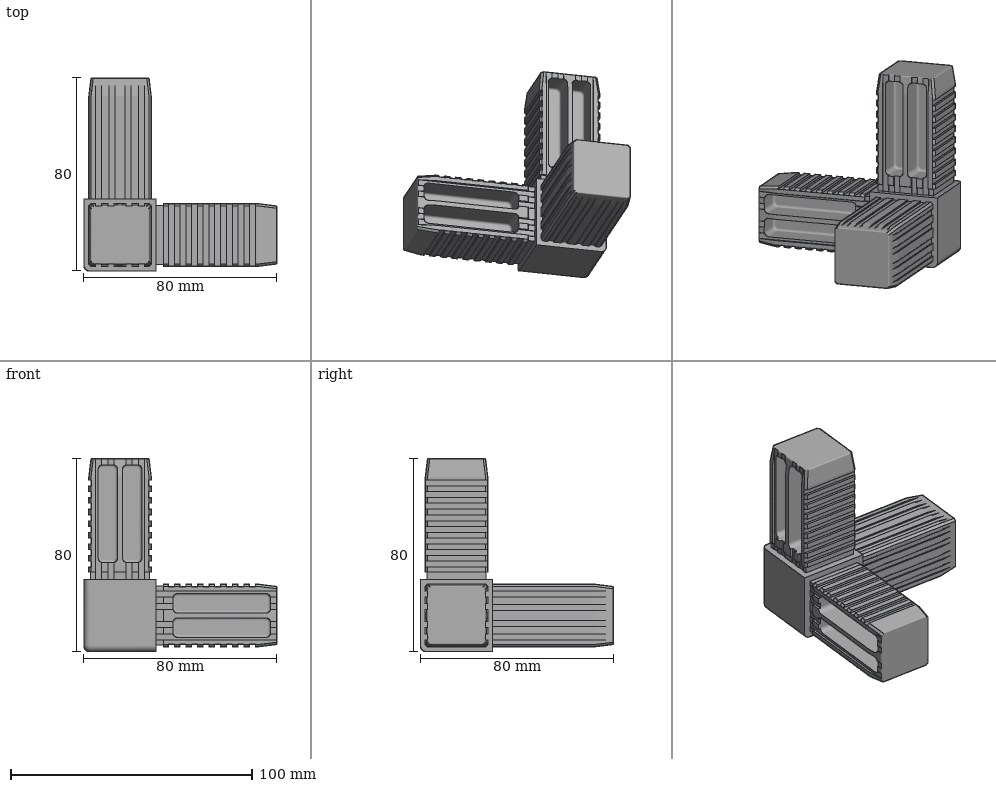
import cadquery as cq


overall = 80.0
cube_size = 30.0
cube_fillet = 2.5
plug_width = 26.0
corner_chamfer = 1.0
taper_length = 7.8
taper_inset = 1.0
tip_fillet = 0.5
groove_width = 2.5

neck_width = 24.5
neck_length = 3.0
rib_pitch = 4.8
rib_gap = 2.5
rib_gap_count = 8
first_rib = 2.1
rib_depth = 1.0
ribbed_groove_starts = (2.6, 7.6)
pocket_width = 8.1
pocket_length = 40.5
pocket_tip_wall = 2.6
pocket_corner = 2.0
pocket_floor_fillet = 1.0
web = 2.0

shallow_depth = 0.6
shallow_groove_starts = (2.0, 7.6)

half_cube = cube_size / 2
half_plug = plug_width / 2
tip = overall - half_cube
taper_start = tip - taper_length


def chamfered_square(width):
    """Sketch of the plug section: a square with chamfered corners."""
    return cq.Sketch().rect(width, width).vertices().chamfer(corner_chamfer)


def block(x_range, y_range, z_range):
    """Axis-aligned box between the given limits."""
    (x0, x1), (y0, y1), (z0, z1) = x_range, y_range, z_range
    return cq.Workplane("XY").box(x1 - x0, y1 - y0, z1 - z0, centered=False).translate((x0, y0, z0))


def plain_plug():
    """Chamfered square bar with a tapered, rounded free end; it starts at the cube centre."""
    base = chamfered_square(plug_width)
    end = chamfered_square(plug_width - 2 * taper_inset)
    shank = cq.Workplane("XY").placeSketch(base).extrude(taper_start)
    lead_in = (
        cq.Workplane("XY")
        .placeSketch(base, end.moved(cq.Location(cq.Vector(0, 0, taper_length))))
        .loft(ruled=True)
        .translate((0, 0, taper_start))
    )
    return shank.union(lead_in).faces(">Z").edges().fillet(tip_fillet)


def lengthwise_grooves(starts, depth):
    """Cutters for grooves in the +Y and -Y sides, mirrored about the middle."""
    floor = half_plug - depth
    cutters = cq.Workplane("XY")
    for start in starts:
        for side in (-1, 1):
            middle = side * (start + groove_width / 2)
            x_range = (middle - groove_width / 2, middle + groove_width / 2)
            cutters = cutters.union(block(x_range, (floor, plug_width), (0, tip)))
            cutters = cutters.union(block(x_range, (-plug_width, -floor), (0, tip)))
    return cutters


def rib_gaps():
    """Cutters for the gaps between the cross ribs on the +X and -X sides."""
    floor = half_plug - rib_depth
    across = (-plug_width, plug_width)
    cutters = cq.Workplane("XY")
    for i in range(rib_gap_count):
        bottom = half_cube + neck_length + first_rib + i * rib_pitch
        z_range = (bottom, bottom + rib_gap)
        cutters = cutters.union(block((floor, plug_width), across, z_range))
        cutters = cutters.union(block((-plug_width, -floor), across, z_range))
    return cutters


def neck_relief():
    """Cutter that leaves a narrower square neck next to the cube."""
    neck_top = half_cube + neck_length
    sleeve = cq.Workplane("XY").rect(2 * plug_width, 2 * plug_width).rect(neck_width, neck_width)
    return sleeve.extrude(neck_top)


def pockets():
    """Cutters for two round-cornered pockets in each of the +Y and -Y sides."""
    middle_x = (web + pocket_width) / 2
    middle_z = tip - pocket_tip_wall - pocket_length / 2
    cutters = cq.Workplane("XY")
    for side_x in (-1, 1):
        for side_y in (-1, 1):
            pocket = (
                cq.Workplane("XY")
                .box(pocket_width, half_plug, pocket_length)
                .edges("|Y").fillet(pocket_corner)
                .faces("<Y" if side_y > 0 else ">Y").edges().fillet(pocket_floor_fillet)
                .translate((side_x * middle_x, side_y * (web + half_plug) / 2, middle_z))
            )
            cutters = cutters.union(pocket)
    return cutters


def ribbed_plug():
    """Plug with cross ribs on the X sides, and grooves and pockets on the Y sides."""
    grooves = lengthwise_grooves(ribbed_groove_starts, rib_depth)
    return plain_plug().cut(rib_gaps()).cut(neck_relief()).cut(grooves).cut(pockets())


def grooved_plug():
    """Plug with four shallow grooves on every side that run out on the taper."""
    grooves = lengthwise_grooves(shallow_groove_starts, shallow_depth)
    turned_grooves = grooves.rotate((0, 0, 0), (0, 0, 1), 90)
    return plain_plug().cut(grooves).cut(turned_grooves)


def corner_cube():
    """Cube with the edges around its outer corner rounded."""
    cube = cq.Workplane("XY").box(cube_size, cube_size, cube_size)
    outer_edges = "(<X and <Y) or (<X and <Z) or (<Y and <Z)"
    return cube.edges(outer_edges).fillet(cube_fillet)


origin = (0, 0, 0)
z_plug = ribbed_plug()
x_plug = z_plug.rotate(origin, (0, 1, 0), 90)
y_plug = grooved_plug().rotate(origin, (1, 0, 0), -90)

connector = corner_cube().union(z_plug).union(x_plug).union(y_plug)
result = connector.translate((half_cube, half_cube, half_cube))